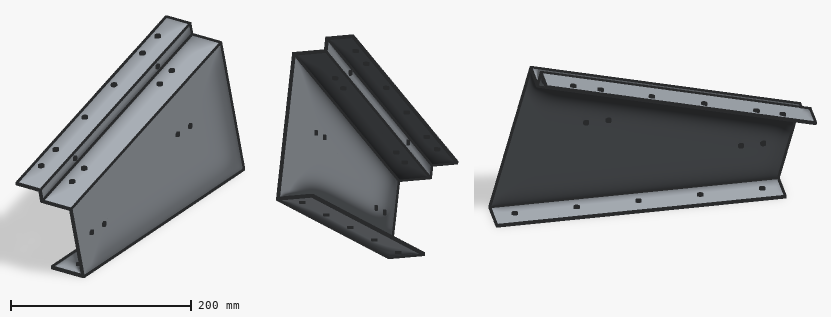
import cadquery as cq
import math

SHEET = 2.02
WIDTH = 70.0
SLOPE = 15.0
SLOPE_LENGTH = 315.0
BACK_EDGE = 195.5
FOOT_WIDTH = 42.0
SHELF_WIDTH = 40.0
STEP = 15.5

FLANGE_HOLE = 5.0
FLANGE_HOLE_X = 9.5
FLANGE_HOLES = [33.5, 65.3, 125.3, 186.7, 247.7, 278.5]

SHELF_HOLE = 5.0
SHELF_HOLE_X = 44.7
SHELF_HOLE_PAIRS = [63.5, 248.5]
PAIR_PITCH = 25.2

RISER_HOLE = 4.3
RISER_HOLE_DROP = 8.5
RISER_HOLE_INSET = 70.5

WEB_HOLE = 4.3
WEB_HOLE_PAIRS = [(109.0, 98.0), (284.0, 48.3)]

FOOT_HOLE = 5.0
FOOT_HOLE_X = 49.7
FIRST_FOOT_HOLE = 24.5
FOOT_HOLE_COUNT = 5
FOOT_HOLE_PITCH = 70.0

ANGLE = math.radians(SLOPE)
SLOPE_NORMAL = (0, -math.sin(ANGLE), math.cos(ANGLE))
ALONG_X = (1, 0, 0)
ALONG_Z = (0, 0, 1)

FOOT_LENGTH = SLOPE_LENGTH / math.cos(ANGLE)
RISER_X = WIDTH - SHELF_WIDTH
CUT_DEPTH = 3 * SHEET


def slope_point(distance, depth):
    """(Y, Z) of a point along the slope, at a depth square to the top flange surface."""
    up = BACK_EDGE - depth
    y = -up * math.sin(ANGLE) - distance * math.cos(ANGLE)
    z = SHEET + up * math.cos(ANGLE) - distance * math.sin(ANGLE)
    return y, z


def sloped_strip(x_start, x_end, depth_start, depth_end):
    """Sheet strip running the whole slope, between two X values and two depths."""
    corners = [
        slope_point(0, depth_start),
        slope_point(SLOPE_LENGTH, depth_start),
        slope_point(SLOPE_LENGTH, depth_end),
        slope_point(0, depth_end),
    ]
    return cq.Workplane("YZ", origin=(x_start, 0, 0)).polyline(corners).close().extrude(x_end - x_start)


def hole_cutter(center, direction, diameter):
    """Cylinder centred on a point of a sheet, along the given direction."""
    start = cq.Vector(*center) - cq.Vector(*direction) * (CUT_DEPTH / 2)
    return cq.Workplane(cq.Solid.makeCylinder(diameter / 2, CUT_DEPTH, start, cq.Vector(*direction)))


foot = cq.Workplane("XY").box(FOOT_WIDTH, FOOT_LENGTH, SHEET, centered=False)
foot = foot.translate((WIDTH - FOOT_WIDTH, -FOOT_LENGTH, 0))
web_outline = [
    (0, SHEET),
    slope_point(0, STEP),
    slope_point(SLOPE_LENGTH, STEP),
    (-FOOT_LENGTH, SHEET),
]
web = cq.Workplane("YZ", origin=(WIDTH - SHEET, 0, 0)).polyline(web_outline).close().extrude(SHEET)
shelf = sloped_strip(RISER_X, WIDTH, STEP, STEP + SHEET)
riser = sloped_strip(RISER_X, RISER_X + SHEET, 0, STEP + SHEET)
top_flange = sloped_strip(0, RISER_X + SHEET, 0, SHEET)
result = foot.union(web).union(shelf).union(riser).union(top_flange)

for distance in FLANGE_HOLES:
    center = (FLANGE_HOLE_X, *slope_point(distance, SHEET / 2))
    result = result.cut(hole_cutter(center, SLOPE_NORMAL, FLANGE_HOLE))

for first in SHELF_HOLE_PAIRS:
    for distance in (first, first + PAIR_PITCH):
        center = (SHELF_HOLE_X, *slope_point(distance, STEP + SHEET / 2))
        result = result.cut(hole_cutter(center, SLOPE_NORMAL, SHELF_HOLE))

for distance in (RISER_HOLE_INSET, SLOPE_LENGTH - RISER_HOLE_INSET):
    center = (RISER_X + SHEET / 2, *slope_point(distance, RISER_HOLE_DROP))
    result = result.cut(hole_cutter(center, ALONG_X, RISER_HOLE))

for first, height in WEB_HOLE_PAIRS:
    for distance in (first, first + PAIR_PITCH):
        center = (WIDTH - SHEET / 2, -distance, height)
        result = result.cut(hole_cutter(center, ALONG_X, WEB_HOLE))

for index in range(FOOT_HOLE_COUNT):
    center = (FOOT_HOLE_X, -FIRST_FOOT_HOLE - index * FOOT_HOLE_PITCH, SHEET / 2)
    result = result.cut(hole_cutter(center, ALONG_Z, FOOT_HOLE))